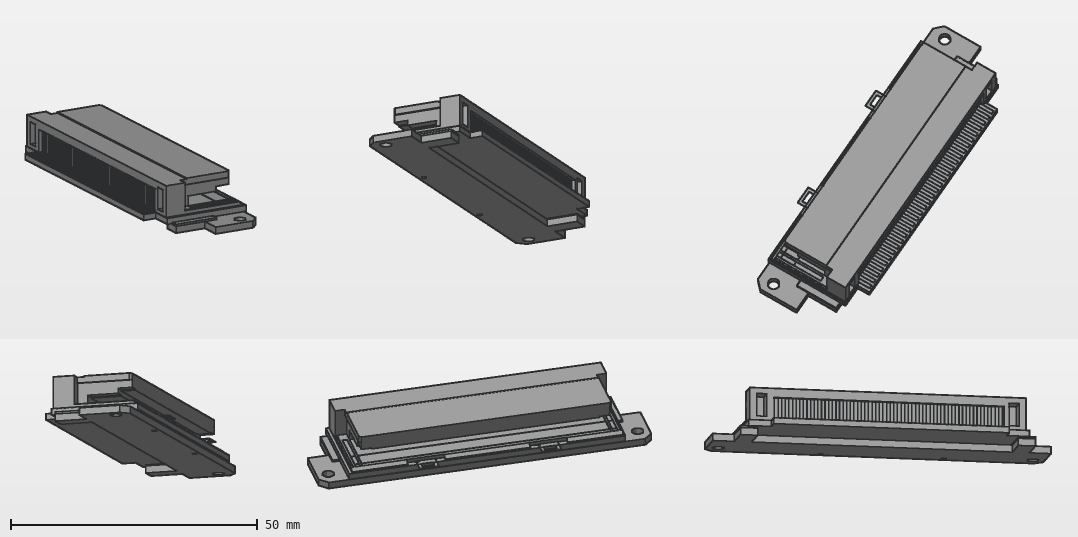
import cadquery as cq
board_half_width = 29.0
board_front = 2.8
board_back = 21.3
board_bottom = 1.7
board_thickness = 1.25
board_top = board_bottom + board_thickness
card_half_width = 24.3

lug_back = 13.55
lug_top = 1.9

locating_diameter = 1.0
locating_spacing = 25.4
locating_left_x = -10.95
locating_y = 19.9

frame_half_width = 34.9
frame_back = 21.1
frame_height = 1.5
ear_front = 10.75
ear_chamfer = 1.7
ear_hole_diameter = 2.4
ear_hole_x = 32.45
ear_hole_y = 17.8
leg_inner_x = 26.9
leg_outer_x = 30.4
leg_front = 4.05

housing_x = -0.2
housing_half_width = 28.5
housing_front = 2.9
block_back = 7.4
block_top = 9.6
base_top = 3.8
base_back = 20.0
skirt_back = 21.0
sheet_thickness = 0.1
slope_run = base_top - board_top - sheet_thickness

step_depth = 0.1
ledge_width = 0.4
groove_outer_x = 27.5
groove_inner_x = 26.5
panel_half_width = 26.05
deep_back = 19.1

arm_back = 19.0
arm_step_y = 16.0
column_back = 9.5
arm_low = 5.85
arm_high = 6.9
arm_rib_drop = 0.2
arm_rib_inset = 2.1
plate_bottom = 8.45
plate_half_width = 26.45
plate_chamfer = 0.4
arm_half_width = plate_half_width - plate_chamfer
cover_front = 8.85
cover_top = 9.85

window_offset_x = 26.05
window_width = 2.1
window_depth = 3.5

recess_half_width = 23.7
recess_depth = 0.8
recess_top = 7.75
recess_back = housing_front + recess_depth
contact_count = 32
contact_row_length = 46.3
contact_pitch = contact_row_length / (contact_count - 1)
contact_width = 0.8
contact_front = 0.4

tab_offset_x = 12.85
tab_width = 4.05
tab_back = 23.0
tab_slot_width = 2.5
tab_slot_back = 22.35
tab_notch_width = 7.8


def block(x_min, x_max, y_min, y_max, z_min, z_max):
    """Box given by its limits along each axis."""
    return cq.Workplane("XY").box(
        x_max - x_min, y_max - y_min, z_max - z_min, centered=False
    ).translate((x_min, y_min, z_min))


def leg_block(side, y_max, z_min, z_max):
    """Box as wide as a frame leg, on the left (side -1) or the right (side 1)."""
    inner, outer = sorted((side * leg_inner_x, side * leg_outer_x))
    return block(inner, outer, leg_front, y_max, z_min, z_max)


def housing_box(center_x, half_width, y_min, y_max, z_min, z_max):
    """Box centred on center_x, which is measured from the housing's own middle."""
    middle = housing_x + center_x
    return block(middle - half_width, middle + half_width, y_min, y_max, z_min, z_max)


def housing_profile(points, half_width):
    """Outline of (y, z) points extruded across the housing, symmetric about its middle."""
    return (
        cq.Workplane("YZ", origin=(housing_x, 0, 0))
        .polyline(points)
        .close()
        .extrude(half_width, both=True)
    )


def locating_holes():
    """Cutters for the holes shared by the board and the frame."""
    centers = [(locating_left_x + i * locating_spacing, locating_y) for i in range(2)]
    return cq.Workplane("XY").pushPoints(centers).circle(locating_diameter / 2).extrude(board_top)


def make_board():
    plate = block(-board_half_width, board_half_width, board_front, board_back, board_bottom, board_top)
    card_edge = block(-card_half_width, card_half_width, 0, board_front, board_bottom, board_top)
    board = plate.union(card_edge)
    for side in (-1, 1):
        board = board.union(leg_block(side, lug_back, frame_height, lug_top))
    return board.cut(locating_holes())


def make_frame():
    bar = block(-frame_half_width, frame_half_width, ear_front, frame_back, 0, frame_height)
    frame = bar.edges("|Z and >Y").chamfer(ear_chamfer)
    for side in (-1, 1):
        frame = frame.union(leg_block(side, ear_front, 0, frame_height))
    ear_holes = (
        cq.Workplane("XY")
        .pushPoints([(-ear_hole_x, ear_hole_y), (ear_hole_x, ear_hole_y)])
        .circle(ear_hole_diameter / 2)
        .extrude(frame_height)
    )
    return frame.cut(ear_holes).cut(locating_holes())


def sunken_strip(center_x, half_width):
    """Cutter for a shallow strip in the base top, twice as deep below the raised end of the arm."""
    strip = housing_box(
        center_x, half_width, column_back, base_back + slope_run, base_top - step_depth, base_top
    )
    deep_part = housing_box(
        center_x, half_width, arm_step_y, deep_back, base_top - 2 * step_depth, base_top
    )
    return strip.union(deep_part)


def make_base():
    """Base with a sloped back edge, a thin rear skirt and shallow steps in its top."""
    base = housing_profile(
        [
            (housing_front, board_top),
            (skirt_back, board_top),
            (skirt_back, board_top + sheet_thickness),
            (base_back + slope_run, board_top + sheet_thickness),
            (base_back, base_top),
            (housing_front, base_top),
        ],
        housing_half_width,
    )
    groove_x = (groove_inner_x + groove_outer_x) / 2
    groove_half_width = (groove_outer_x - groove_inner_x) / 2
    for side in (-1, 1):
        ledge = housing_box(
            side * (housing_half_width - ledge_width / 2),
            ledge_width / 2,
            block_back,
            base_back + slope_run,
            base_top - step_depth,
            base_top,
        )
        base = base.cut(ledge).cut(sunken_strip(side * groove_x, groove_half_width))
    return base.cut(sunken_strip(0, panel_half_width))


def make_arm():
    """Column and stepped arm, with a central rib below and a wider plate on top."""
    arm = housing_profile(
        [
            (block_back, board_top),
            (column_back, board_top),
            (column_back, arm_low),
            (arm_step_y, arm_low),
            (arm_step_y, arm_high),
            (arm_back, arm_high),
            (arm_back, plate_bottom),
            (block_back, plate_bottom),
        ],
        arm_half_width,
    )
    rib = housing_profile(
        [
            (column_back, arm_low - arm_rib_drop),
            (arm_step_y, arm_low - arm_rib_drop),
            (arm_step_y, arm_high - arm_rib_drop),
            (arm_back, arm_high - arm_rib_drop),
            (arm_back, plate_bottom),
            (column_back, plate_bottom),
        ],
        arm_half_width - arm_rib_inset,
    )
    plate = housing_profile(
        [
            (block_back, plate_bottom),
            (arm_back, plate_bottom),
            (arm_back, cover_top),
            (cover_front, cover_top),
            (cover_front, block_top),
            (block_back, block_top),
        ],
        plate_half_width,
    )
    plate = plate.edges("|Z and >Y").chamfer(plate_chamfer)
    return arm.union(rib).union(plate)


def make_contact(x):
    """Flat contact running up the back of the recess and forward along the card edge."""
    left, right = x - contact_width / 2, x + contact_width / 2
    leg = block(left, right, recess_back - sheet_thickness, recess_back, board_top, recess_top)
    foot = block(left, right, contact_front, recess_back, board_top, board_top + sheet_thickness)
    return leg.union(foot)


def make_tab(offset_x):
    """Thin slotted tab lying on the board and reaching past its back edge."""
    tab = housing_box(
        offset_x, tab_width / 2, base_back - slope_run, tab_back, board_top, board_top + sheet_thickness
    )
    slot = housing_box(
        offset_x, tab_slot_width / 2, board_back, tab_slot_back, board_top, board_top + sheet_thickness
    )
    return tab.cut(slot)


def make_housing():
    front_block = housing_box(0, housing_half_width, housing_front, block_back, board_top, block_top)
    housing = make_base().union(front_block).union(make_arm())

    recess = block(
        -recess_half_width, recess_half_width, housing_front, recess_back, board_top, recess_top
    )
    housing = housing.cut(recess)
    for side in (-1, 1):
        window = housing_box(
            side * window_offset_x,
            window_width / 2,
            housing_front,
            housing_front + window_depth,
            base_top,
            plate_bottom,
        )
        notch = housing_box(
            side * tab_offset_x,
            tab_notch_width / 2,
            base_back,
            skirt_back,
            board_top,
            base_top,
        )
        housing = housing.cut(window).cut(notch).union(make_tab(side * tab_offset_x))

    for i in range(contact_count):
        housing = housing.union(make_contact(i * contact_pitch - contact_row_length / 2))
    return housing


board = make_board()
frame = make_frame()
housing = make_housing()

result = cq.Compound.makeCompound([board.solids().val(), frame.solids().val(), housing.solids().val()])